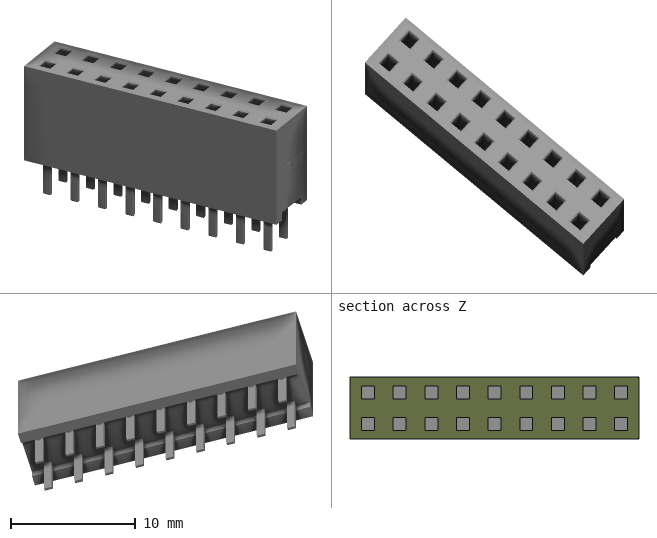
import cadquery as cq

column_count = 9
row_count = 2
column_span = 20.31
pitch = column_span / (column_count - 1)

overall_length = 23.27
body_length = 23.25
body_width = 5.0
body_height = 8.5

channel_width = 3.19
channel_depth = 0.7

cavity_mouth = 1.2
cavity_size = 1.0
cavity_depth = 5.82
lead_in = (cavity_mouth - cavity_size) / 2

pin_width = 0.65
pin_thickness = 0.35
pin_length = 3.2
pin_tip_chamfer = 0.1
pin_embedment = 0.23

mark_height = 1.0
mark_drop = 3.8
mark_relief = overall_length - body_length
mark_spans = [(-1.45, 1.35), (0.19, 1.6)]


def contact_grid(workplane):
    """Contact positions on a square pitch, centred on the body."""
    return workplane.rarray(pitch, pitch, column_count, row_count)


def make_body():
    """Rectangular housing with a channel running along its underside."""
    centred_on_base = (True, True, False)
    block = cq.Workplane("XY").box(body_length, body_width, body_height, centered=centred_on_base)
    channel = cq.Workplane("XY").box(body_length, channel_width, channel_depth, centered=centred_on_base)
    return block.cut(channel)


def make_cavities():
    """Square blind cavities with a chamfered lead-in at the top face."""
    top = cq.Workplane("XY").workplane(offset=body_height)
    wells = contact_grid(top).rect(cavity_size, cavity_size).extrude(-cavity_depth)
    mouth = (
        cq.Workplane("XY")
        .workplane(offset=body_height - lead_in)
        .rect(cavity_size, cavity_size)
        .workplane(offset=lead_in)
        .rect(cavity_mouth, cavity_mouth)
        .loft(combine=True)
        .val()
    )
    mouths = contact_grid(cq.Workplane("XY")).eachpoint(lambda place: mouth.moved(place))
    return wells.union(mouths)


def make_pins():
    """Flat solder pins, chamfered across their broad faces at the tip."""
    pin_top = channel_depth + pin_embedment
    pin = (
        cq.Workplane("XY")
        .workplane(offset=-pin_length)
        .rect(pin_width, pin_thickness)
        .extrude(pin_length + pin_top)
        .faces("<Z")
        .edges("|X")
        .chamfer(pin_tip_chamfer)
        .val()
    )
    return contact_grid(cq.Workplane("XY")).eachpoint(lambda place: pin.moved(place))


def make_mark(start, width):
    """Low raised rectangle on the +X end of the housing."""
    mark_base = body_height - mark_drop - mark_height
    mark = cq.Workplane("XY").box(mark_relief, width, mark_height, centered=False)
    return mark.translate((body_length / 2, start, mark_base))


result = make_body().cut(make_cavities()).union(make_pins())
for mark_start, mark_width in mark_spans:
    result = result.union(make_mark(mark_start, mark_width))